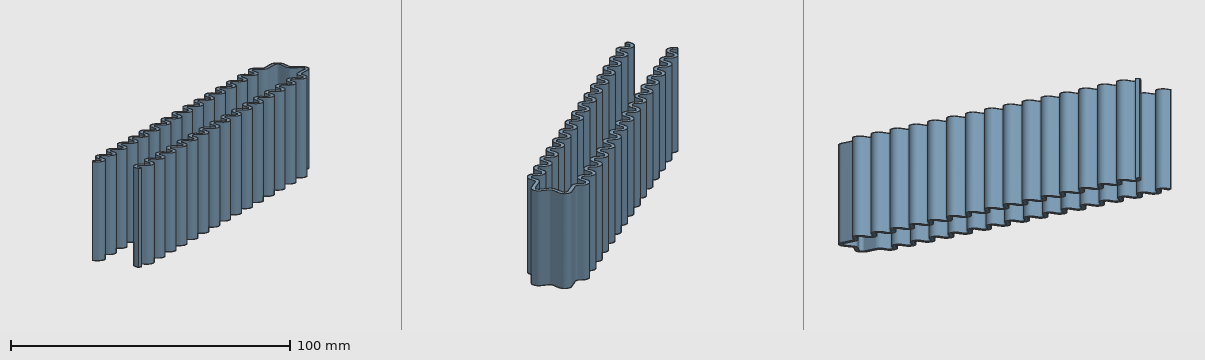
import cadquery as cq
import math

width = 23.0
length = 138.34
height = 37.0
thickness = 1.5
bend_inside = 1.2
wave_depth = 5.5
wave_pitch = 8.5
wave_count = 15
dip_drop = 2.19

bend_radius = bend_inside + thickness / 2
bend_outside = bend_inside + thickness
crest_x = width / 2 - bend_outside
trough_x = width / 2 - wave_depth + bend_outside
shoulder_x = trough_x - 2 * bend_radius


def link_angle(start, end, turn):
    """Direction of the straight link leaving a bend at `start` for an opposite bend at `end`.

    `turn` is the sense of the first bend: 1 for counterclockwise, -1 for clockwise.
    """
    dx = end[0] - start[0]
    dy = end[1] - start[1]
    lean = math.asin(2 * bend_radius / math.hypot(dx, dy))
    return math.atan2(dy, dx) + turn * lean


def offset_point(point, angle, distance):
    """Point at `distance` to the left of `point`, for a path running along `angle`."""
    return (point[0] - distance * math.sin(angle), point[1] + distance * math.cos(angle))


tip_angle = link_angle((trough_x, 0), (crest_x, -wave_pitch / 2), 1)
tip_x, tip_above_crest = offset_point((crest_x, 0), tip_angle, bend_radius)
tip_y = thickness / 2 * math.cos(tip_angle) - length
first_trough_y = tip_y - tip_above_crest + (wave_count + 0.5) * wave_pitch


def half_bend_centres():
    """Bend centres from the shoulder of the closed end to the tip of the +X leg."""
    centres = [(shoulder_x, -bend_outside)]
    for step in range(2 * wave_count + 1):
        x = trough_x if step % 2 == 0 else crest_x
        centres.append((x, first_trough_y - step * wave_pitch / 2))
    return centres


def sheet_profile():
    """Closed outline of the bent sheet, from the -X tip over the closed end to the +X tip."""
    right = half_bend_centres()
    left = [(-x, y) for x, y in reversed(right)]
    dip = (0, bend_inside - dip_drop)
    centres = left + [dip] + right

    turns = [1 if i % 2 == 0 else -1 for i in range(len(centres))]
    links = [link_angle(a, b, t) for a, b, t in zip(centres, centres[1:], turns)]
    headings = [-tip_angle] + links + [tip_angle]

    def bend_points(i, side):
        """Start, middle and end of bend i on the left (1) or right (-1) face of the sheet."""
        reach = side * thickness / 2 - turns[i] * bend_radius
        sweep = (headings[i + 1] - headings[i]) % (turns[i] * 2 * math.pi)
        angles = [headings[i], headings[i] + sweep / 2, headings[i] + sweep]
        return [offset_point(centres[i], angle, reach) for angle in angles]

    left_tip = (-tip_x, tip_y)
    right_tip = (tip_x, tip_y)
    profile = cq.Workplane("XY").moveTo(*offset_point(left_tip, -tip_angle, thickness / 2))
    for i in range(len(centres)):
        start, middle, end = bend_points(i, 1)
        profile = profile.lineTo(*start).threePointArc(middle, end)
    profile = profile.lineTo(*offset_point(right_tip, tip_angle, thickness / 2))
    profile = profile.lineTo(*offset_point(right_tip, tip_angle, -thickness / 2))
    for i in reversed(range(len(centres))):
        start, middle, end = bend_points(i, -1)
        profile = profile.lineTo(*end).threePointArc(middle, start)
    return profile.lineTo(*offset_point(left_tip, -tip_angle, -thickness / 2)).close()


result = sheet_profile().extrude(height)